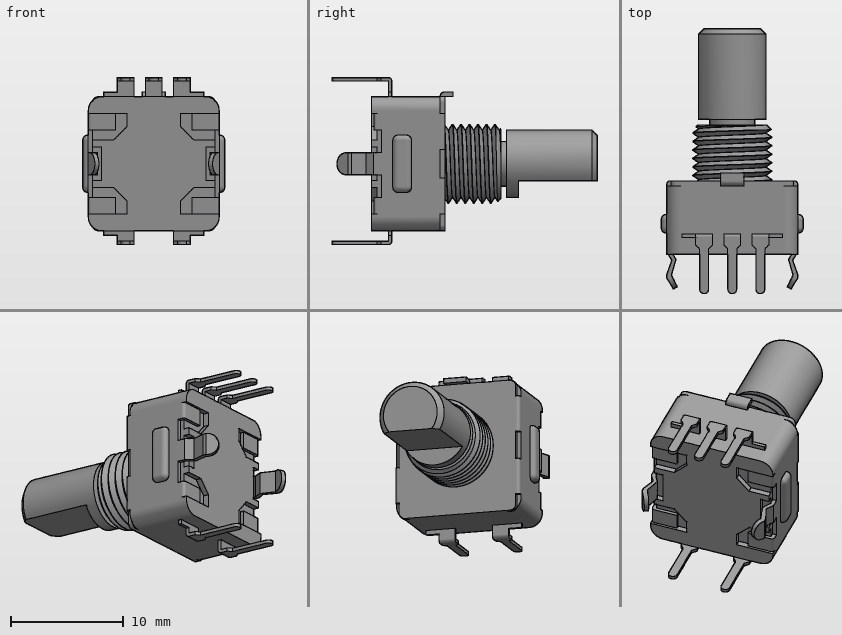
import cadquery as cq


TOTAL_LENGTH = 23.5
FILLET_MARGIN = 0.02

BODY_WIDTH = 11.6
BODY_HEIGHT = 11.9
BODY_DEPTH = 6.53
CORNER_RADIUS = 1.22
SIDE_X = BODY_WIDTH / 2
TOP_Z = BODY_HEIGHT / 2

PLATE_THICKNESS = 0.45
WALL_THICKNESS = 0.38
PLATE_CORNER_RADIUS = 0.52
BEND_RADIUS = 0.3
BEND_Z_INNER = 1.25
BEND_Z_OUTER = 4.46

SHAFT_RADIUS = 6.0 / 2
SHAFT_TIP_Y = 13.5
SHAFT_CHAMFER = 0.5
SHAFT_START_Y = 5.43
FLAT_START_Y = 6.5
FLAT_Z = -1.5
NECK_RADIUS = 4 / 2
BUSHING_LENGTH = 4.95
THREAD_RADIUS = 3.5
THREAD_PITCH = 0.75
THREAD_CREST_WIDTH = 0.05
BUSHING_END_RADIUS = 3.05
GROOVE_START_ANGLE = 37
GROOVE_START_Y = -1.03 + THREAD_PITCH * GROOVE_START_ANGLE / 360
GROOVE_LENGTH = 9 * THREAD_PITCH
GROOVE_OVERCUT = 0.012
GROOVE_ROOT_WIDTH = 0.02

TONGUE_WIDTH = 2.07
TONGUE_THICKNESS = 0.42
TONGUE_TIP_Y = 0.7

RIB_LENGTH = 5.1
RIB_WIDTH = 1.67
RIB_HEIGHT = 0.5
RIB_Y = -3.8

RECESS_DEPTH = 0.52
POCKET_OUTER_Z = 4.46
POCKET_INNER_Z = 2.12
POCKET_INNER_X = 2.37
POCKET_CUT = 1.18
CENTER_SLOT_HEIGHT = 2.98
CENTER_SLOT_X = 4.63

TAB_INNER_X = 3.38
TAB_INNER_Z = 2.98
TAB_THICKNESS = 0.3
NOTCH_FLOOR_Y = -5.62

LEG_WIDTH = 1.97
LEG_TIP_RADIUS = LEG_WIDTH / 2 - FILLET_MARGIN
LEG_ROOT_Y = -5.75

PIN_PITCH = 2.5
PIN_THICKNESS = 0.3
PIN_FRONT_Y = -4.72
PIN_TIP_Y = SHAFT_TIP_Y - TOTAL_LENGTH
PIN_HEAD_WIDTH = 1.5
PIN_WIDTH = 0.8
PIN_TAPER_Y = -5.69
PIN_BEND_RADIUS = PIN_THICKNESS - FILLET_MARGIN
PIN_ROOT_DEPTH = 0.7
TOP_PIN_Z = 7.64
BOTTOM_PIN_Z = 7.17
PIN_BASE_X = 4.45
PIN_BASE_HEIGHT = 0.4


def block(x_range, y_range, z_range):
    """Box between two limits on each axis."""
    x0, x1 = x_range
    y0, y1 = y_range
    z0, z1 = z_range
    return cq.Workplane("XY").box(x1 - x0, y1 - y0, z1 - z0, centered=False).translate((x0, y0, z0))


def rod(radius, y_start, y_end):
    """Cylinder on the shaft axis."""
    return cq.Workplane("XZ", origin=(0, y_start, 0)).circle(radius).extrude(y_start - y_end)


def four_corners(shape):
    """The shape with its mirror images across the YZ and XY planes."""
    pair = both_sides(shape)
    return pair.union(pair.mirror("XY"))


def both_sides(shape):
    """The shape with its mirror image across the YZ plane."""
    return shape.union(shape.mirror("YZ"))


def make_housing():
    """Rounded block with a front plate whose side edges are set back except at the wall bends."""
    shell = (
        cq.Workplane("XZ", origin=(0, -PLATE_THICKNESS, 0))
        .rect(BODY_WIDTH, BODY_HEIGHT)
        .extrude(BODY_DEPTH - PLATE_THICKNESS)
        .edges("|Y")
        .fillet(CORNER_RADIUS)
    )
    plate = (
        cq.Workplane("XZ")
        .rect(BODY_WIDTH - 2 * WALL_THICKNESS, BODY_HEIGHT)
        .extrude(PLATE_THICKNESS)
        .edges("|Y")
        .fillet(PLATE_CORNER_RADIUS)
    )
    bend = block(
        (-SIDE_X, -SIDE_X + 2 * WALL_THICKNESS),
        (-PLATE_THICKNESS, 0),
        (BEND_Z_INNER, BEND_Z_OUTER),
    )
    bend = bend.edges("|Z and <X and >Y").fillet(BEND_RADIUS)
    return shell.union(plate).union(four_corners(bend))


def make_tongue():
    tongue = block(
        (-TONGUE_WIDTH / 2, TONGUE_WIDTH / 2),
        (-PLATE_THICKNESS, TONGUE_TIP_Y),
        (TOP_Z, TOP_Z + TONGUE_THICKNESS),
    )
    return tongue.edges("|X and >Z and <Y").fillet(TONGUE_THICKNESS - FILLET_MARGIN)


def make_shaft():
    shaft = rod(SHAFT_RADIUS, SHAFT_START_Y, SHAFT_TIP_Y).faces(">Y").chamfer(SHAFT_CHAMFER)
    below_flat = block(
        (-SHAFT_RADIUS, SHAFT_RADIUS),
        (FLAT_START_Y, SHAFT_TIP_Y),
        (-SHAFT_RADIUS, FLAT_Z),
    )
    return shaft.cut(below_flat).union(rod(NECK_RADIUS, 0, SHAFT_START_Y))


def make_thread_groove():
    """V groove that winds along the bushing as a right-hand helix.

    The start angle keeps the helix ends clear of the seam line of the bushing cylinder.
    """
    root_half_width = GROOVE_ROOT_WIDTH / 2
    mouth_half_width = (THREAD_PITCH - THREAD_CREST_WIDTH) / 2
    flank_slope = (mouth_half_width - root_half_width) / (THREAD_RADIUS - SHAFT_RADIUS)
    outer_radius = THREAD_RADIUS + GROOVE_OVERCUT
    outer_half_width = mouth_half_width + GROOVE_OVERCUT * flank_slope
    helix = cq.Wire.makeHelix(THREAD_PITCH, GROOVE_LENGTH, SHAFT_RADIUS)
    groove = (
        cq.Workplane("XZ")
        .moveTo(SHAFT_RADIUS, -root_half_width)
        .lineTo(SHAFT_RADIUS, root_half_width)
        .lineTo(outer_radius, outer_half_width)
        .lineTo(outer_radius, -outer_half_width)
        .close()
        .sweep(cq.Workplane(helix), isFrenet=True)
    )
    along_shaft = groove.rotate((0, 0, 0), (1, 0, 0), -90)
    turned = along_shaft.rotate((0, 0, 0), (0, 1, 0), GROOVE_START_ANGLE)
    return turned.translate((0, GROOVE_START_Y, 0))


def make_bushing():
    blank = rod(THREAD_RADIUS, -PLATE_THICKNESS, BUSHING_LENGTH)
    blank = blank.faces(">Y").chamfer(THREAD_RADIUS - BUSHING_END_RADIUS)
    return blank.cut(make_thread_groove())


def make_rib():
    rib = block(
        (-SIDE_X - RIB_HEIGHT, -SIDE_X + WALL_THICKNESS),
        (RIB_Y - RIB_WIDTH / 2, RIB_Y + RIB_WIDTH / 2),
        (-RIB_LENGTH / 2, RIB_LENGTH / 2),
    )
    return rib.edges("|X").fillet(RIB_HEIGHT).faces("<X").edges().fillet(RIB_HEIGHT - FILLET_MARGIN)


def make_rear_recesses():
    recess_y = (-BODY_DEPTH, -BODY_DEPTH + RECESS_DEPTH)
    pocket = (
        cq.Workplane("XZ", origin=(0, recess_y[1], 0))
        .moveTo(-SIDE_X, POCKET_OUTER_Z)
        .lineTo(-POCKET_INNER_X, POCKET_OUTER_Z)
        .lineTo(-POCKET_INNER_X, POCKET_INNER_Z + POCKET_CUT)
        .lineTo(-POCKET_INNER_X - POCKET_CUT, POCKET_INNER_Z)
        .lineTo(-SIDE_X, POCKET_INNER_Z)
        .close()
        .extrude(RECESS_DEPTH)
    )
    notch = block(
        (-SIDE_X, -SIDE_X + WALL_THICKNESS),
        (-BODY_DEPTH, NOTCH_FLOOR_Y),
        (LEG_WIDTH / 2, TAB_INNER_Z),
    )
    half_slot = block((-SIDE_X, -CENTER_SLOT_X), recess_y, (0, CENTER_SLOT_HEIGHT / 2))
    return four_corners(pocket.union(notch).union(half_slot))


def make_tab():
    """Tab folded inward from the left side wall onto the floor of the upper pocket."""
    floor_y = -BODY_DEPTH + RECESS_DEPTH
    tab = block(
        (-SIDE_X, -TAB_INNER_X),
        (floor_y - TAB_THICKNESS, floor_y),
        (TAB_INNER_Z, POCKET_OUTER_Z),
    )
    return tab.edges("|Z and <X and <Y").fillet(TAB_THICKNESS - FILLET_MARGIN)


def make_leg():
    """Kinked spring leg that continues the left side wall and ends in a rounded tip."""
    wall_inner_x = -SIDE_X + WALL_THICKNESS
    outer_side = [
        (-SIDE_X, LEG_ROOT_Y),
        (-SIDE_X, -6.35),
        (-5.35, -7.03),
        (-SIDE_X, -8.3),
        (-SIDE_X, -8.62),
        (-5.22, -9.59),
    ]
    inner_side = [
        (-4.86, -9.4),
        (-5.38, -8.37),
        (-4.98, -6.98),
        (wall_inner_x, -6.18),
        (wall_inner_x, LEG_ROOT_Y),
    ]
    leg = (
        cq.Workplane("XY", origin=(0, 0, -LEG_WIDTH / 2))
        .polyline(outer_side + inner_side)
        .close()
        .extrude(LEG_WIDTH)
    )
    tip_corners = leg.faces("<Y").edges("not |Z")
    return tip_corners.fillet(LEG_TIP_RADIUS)


def make_pin(x, outer_z):
    """Bent pin at the given X on the top side, with its outer face at outer_z."""
    rear_y = PIN_FRONT_Y - PIN_THICKNESS
    taper = (PIN_HEAD_WIDTH - PIN_WIDTH) / 2
    head = PIN_HEAD_WIDTH / 2
    half = PIN_WIDTH / 2
    shank_end_y = PIN_TIP_Y + half
    blade = (
        cq.Workplane("XY", origin=(x, 0, outer_z - PIN_THICKNESS))
        .moveTo(-head, PIN_FRONT_Y)
        .lineTo(-head, PIN_TAPER_Y)
        .lineTo(-half, PIN_TAPER_Y - taper)
        .lineTo(-half, shank_end_y)
        .threePointArc((0, PIN_TIP_Y), (half, shank_end_y))
        .lineTo(half, PIN_TAPER_Y - taper)
        .lineTo(head, PIN_TAPER_Y)
        .lineTo(head, PIN_FRONT_Y)
        .close()
        .extrude(PIN_THICKNESS)
    )
    riser = block((x - head, x + head), (rear_y, PIN_FRONT_Y), (TOP_Z - PIN_ROOT_DEPTH, outer_z))
    return blade.union(riser).edges("|X and >Y and >Z").fillet(PIN_BEND_RADIUS)


def make_outer_pins(outer_z):
    """Left and right pins with the base strip that runs outward from each of them."""
    base = block(
        (-PIN_BASE_X, -PIN_PITCH),
        (PIN_FRONT_Y - PIN_THICKNESS, PIN_FRONT_Y),
        (TOP_Z - PIN_ROOT_DEPTH, TOP_Z + PIN_BASE_HEIGHT),
    )
    return both_sides(make_pin(-PIN_PITCH, outer_z).union(base))


result = (
    make_housing()
    .cut(make_rear_recesses())
    .union(four_corners(make_tab()))
    .union(both_sides(make_leg()))
    .union(both_sides(make_rib()))
    .union(make_tongue())
    .union(make_outer_pins(TOP_PIN_Z))
    .union(make_pin(0, TOP_PIN_Z))
    .union(make_outer_pins(BOTTOM_PIN_Z).mirror("XY"))
    .union(make_shaft())
    .union(make_bushing())
)